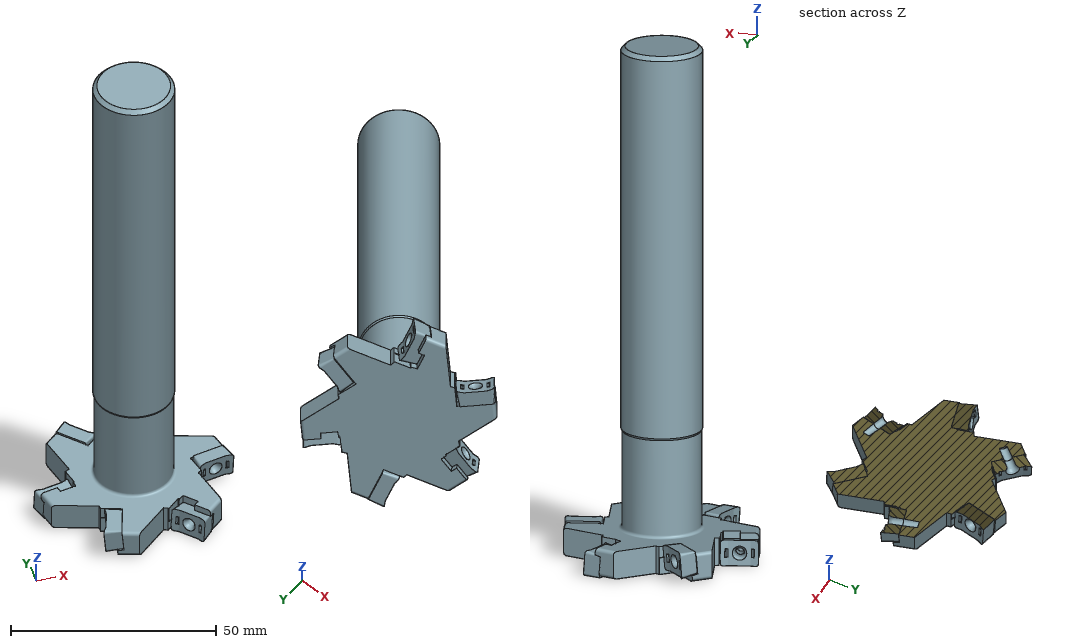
import cadquery as cq
import math


TOTAL_LENGTH = 130
SHANK_DIAMETER = 20.0
NECK_DIAMETER = 19.5
NECK_TOP = 32.5
STEP_HEIGHT = 0.5
SHANK_END_CHAMFER = 1.0
NECK_FILLET = 0.8

TOOTH_COUNT = 6
TOOTH_PITCH = 360 / TOOTH_COUNT
FIRST_TOOTH_ANGLE = 15
DISC_BOTTOM = 0.5
DISC_TOP = 7.5
DISC_MIDDLE = (DISC_BOTTOM + DISC_TOP) / 2
LAND_X = 23.9
LAND_BACK = 1.7
BACK_ANGLE = 30
ROOT_X = 13.9
TOOTH_FRONT = -7.9
RIM_FILLET = 0.9

INSERT_LENGTH = 9.4
INSERT_HEIGHT = 6.5
INSERT_TIP_X = 24.0
INSERT_CORNER_RADIUS = 0.8
INSERT_CLEARANCE_ANGLE = 6
AXIAL_RAKE = 5
INSERT_EDGE_Y = -6.8
INSERT_BACK_Y = -2.3
INSERT_X = INSERT_TIP_X - INSERT_LENGTH / 2
INSERT_Z = 4.8
INSERT_THICKNESS = INSERT_BACK_Y - INSERT_EDGE_Y

PAD_DEPTH = 0.5
PAD_HALF_LENGTH = 2.7
GROOVE_START = 2.9
GROOVE_END = 3.8
GROOVE_DEPTH = 0.8
GROOVE_HEIGHT = 2.1

SEAT_DIAMETER = 3.5
SEAT_MIDDLE_DIAMETER = 2.9
SEAT_BOTTOM_DIAMETER = 2.5
SEAT_STEP_DEPTH = 0.4
BORE_DIAMETER = 2.2
THREAD_DEPTH = 3.9

POCKET_WALL_X = 14.4
LIP_Y = -3.9
CUT_SIZE = 13


def tilt(shape):
    """Lean a shape forward at the top, about the mid-line of the cutting-edge plane."""
    return shape.rotate((0, INSERT_EDGE_Y, INSERT_Z), (1, INSERT_EDGE_Y, INSERT_Z), AXIAL_RAKE)


def at_tooth(shape, index):
    """Turn a shape to its tooth; every second tooth is upside down."""
    if index % 2 == 1:
        shape = shape.mirror("XY", (0, 0, DISC_MIDDLE))
    return shape.rotate((0, 0, 0), (0, 0, 1), FIRST_TOOTH_ANGLE + index * TOOTH_PITCH)


def backward_plane(y):
    """Plane at the middle of the insert, facing the back of the tooth."""
    return cq.Plane(origin=(INSERT_X, y, INSERT_Z), xDir=(1, 0, 0), normal=(0, 1, 0))


def make_insert_blank():
    """Tapered block with rounded corners, largest at the cutting edges."""
    outline = cq.Sketch().rect(INSERT_LENGTH, INSERT_HEIGHT).vertices().fillet(INSERT_CORNER_RADIUS)
    return (
        cq.Workplane(backward_plane(INSERT_EDGE_Y))
        .placeSketch(outline)
        .extrude(INSERT_THICKNESS, taper=INSERT_CLEARANCE_ANGLE)
    )


def front_profile(points, height):
    """Prism along Z of an outline given from the middle of the cutting-edge plane."""
    return (
        cq.Workplane("XY", origin=(INSERT_X, INSERT_EDGE_Y, INSERT_Z))
        .polyline(points)
        .close()
        .extrude(height / 2, both=True)
    )


def make_chip_space():
    """Space in front of the pad and of the ramps that rise to both cutting edges."""
    half = INSERT_LENGTH / 2
    points = [(-half, 0), (-PAD_HALF_LENGTH, PAD_DEPTH), (PAD_HALF_LENGTH, PAD_DEPTH), (half, 0)]
    return front_profile(points, INSERT_HEIGHT)


def make_chip_groove(side):
    """V groove across the middle of one ramp."""
    points = [
        (side * GROOVE_START, 0),
        (side * GROOVE_START, PAD_DEPTH),
        (side * (GROOVE_START + GROOVE_END) / 2, GROOVE_DEPTH),
        (side * GROOVE_END, 0),
    ]
    return front_profile(points, GROOVE_HEIGHT)


def make_screw_hole():
    """Three-stage conical screw seat over a through bore."""
    profile = [
        (0, 0),
        (SEAT_DIAMETER / 2, 0),
        (SEAT_DIAMETER / 2, PAD_DEPTH),
        (SEAT_MIDDLE_DIAMETER / 2, PAD_DEPTH + SEAT_STEP_DEPTH),
        (SEAT_BOTTOM_DIAMETER / 2, PAD_DEPTH + 2 * SEAT_STEP_DEPTH),
        (BORE_DIAMETER / 2, PAD_DEPTH + 3 * SEAT_STEP_DEPTH),
        (BORE_DIAMETER / 2, INSERT_THICKNESS),
        (0, INSERT_THICKNESS),
    ]
    return (
        cq.Workplane("XY", origin=(INSERT_X, INSERT_EDGE_Y, INSERT_Z))
        .polyline(profile)
        .close()
        .revolve(360, (0, 0, 0), (0, 1, 0))
    )


def make_insert():
    insert = make_insert_blank().cut(make_chip_space())
    for side in (-1, 1):
        insert = insert.cut(make_chip_groove(side))
    return tilt(insert.cut(make_screw_hole()))


def make_shank():
    """Shank and narrower neck, with a fillet that flares into the disc."""
    neck_radius = NECK_DIAMETER / 2
    shank_radius = SHANK_DIAMETER / 2
    return (
        cq.Workplane("XZ")
        .moveTo(0, DISC_MIDDLE)
        .lineTo(neck_radius + NECK_FILLET, DISC_MIDDLE)
        .lineTo(neck_radius + NECK_FILLET, DISC_TOP)
        .radiusArc((neck_radius, DISC_TOP + NECK_FILLET), NECK_FILLET)
        .lineTo(neck_radius, NECK_TOP)
        .lineTo(shank_radius, NECK_TOP + STEP_HEIGHT)
        .lineTo(shank_radius, TOTAL_LENGTH - SHANK_END_CHAMFER)
        .lineTo(shank_radius - SHANK_END_CHAMFER, TOTAL_LENGTH)
        .lineTo(0, TOTAL_LENGTH)
        .close()
        .revolve(360, (0, 0, 0), (0, 1, 0))
    )


def make_tooth_blank():
    """One sector of the disc, from its axis to the land, with rounded land edges."""
    root_y = LAND_BACK + (LAND_X - ROOT_X) * math.tan(math.radians(BACK_ANGLE))
    turn = math.radians(-TOOTH_PITCH)
    previous_root = (
        ROOT_X * math.cos(turn) - root_y * math.sin(turn),
        ROOT_X * math.sin(turn) + root_y * math.cos(turn),
    )
    points = [
        (0, 0),
        previous_root,
        (POCKET_WALL_X, TOOTH_FRONT),
        (LAND_X, TOOTH_FRONT),
        (LAND_X, LAND_BACK),
        (ROOT_X, root_y),
    ]
    return (
        cq.Workplane("XY", origin=(0, 0, DISC_BOTTOM))
        .polyline(points)
        .close()
        .extrude(DISC_TOP - DISC_BOTTOM)
        .faces(">X")
        .edges("|Y")
        .fillet(RIM_FILLET)
    )


def pocket_cut(wall_x, wall_back_x, end_x, back_y, bottom_z):
    """Cut from the front of the tooth to back_y, upward from bottom_z, against an end wall."""
    front_y = INSERT_EDGE_Y - CUT_SIZE
    points = [
        (wall_x, front_y),
        (wall_x, INSERT_EDGE_Y),
        (wall_back_x, back_y),
        (end_x, back_y),
        (end_x, front_y),
    ]
    return (
        cq.Workplane("XY", origin=(0, 0, bottom_z))
        .polyline(points)
        .close()
        .extrude(INSERT_Z + CUT_SIZE - bottom_z)
    )


def make_pocket():
    """Insert seat, its chip space and the tapped hole behind it."""
    outside_x = INSERT_X + CUT_SIZE
    below_z = INSERT_Z - CUT_SIZE
    heel_x = INSERT_X - INSERT_LENGTH / 2
    heel_back_x = heel_x + INSERT_THICKNESS * math.tan(math.radians(INSERT_CLEARANCE_ANGLE))
    chip_gullet = pocket_cut(heel_x, heel_x, outside_x, LIP_Y, below_z)
    inner_seat = pocket_cut(heel_x, heel_back_x, INSERT_X, INSERT_BACK_Y, below_z)
    upper_seat = pocket_cut(POCKET_WALL_X, POCKET_WALL_X, outside_x, INSERT_BACK_Y, INSERT_Z)
    tapped_hole = (
        cq.Workplane(backward_plane(INSERT_BACK_Y)).circle(BORE_DIAMETER / 2).extrude(THREAD_DEPTH)
    )
    blank = make_insert_blank()
    pocket = blank.union(blank.translate((INSERT_LENGTH / 2, 0, 0)))
    for cut in (chip_gullet, inner_seat, upper_seat, tapped_hole):
        pocket = pocket.union(cut)
    return tilt(pocket)


def make_cutter_body():
    tooth = make_tooth_blank()
    pocket = make_pocket()
    body = make_shank()
    for index in range(TOOTH_COUNT):
        body = body.union(at_tooth(tooth, index))
    for index in range(TOOTH_COUNT):
        body = body.cut(at_tooth(pocket, index))
    return body


cutter_body = make_cutter_body()
insert = make_insert()
inserts = [at_tooth(insert, index) for index in range(TOOTH_COUNT)]

result = cq.Compound.makeCompound([cutter_body.val(), *[copy.val() for copy in inserts]])